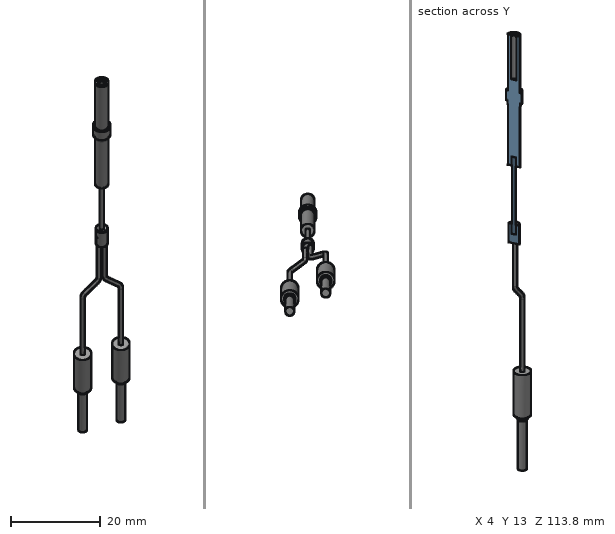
import cadquery as cq
import math

TOTAL_HEIGHT = 113.8

SOCKET_BOTTOM = 80.2
SOCKET_DIAMETER = 3.1
SOCKET_RADIUS = SOCKET_DIAMETER / 2
COLLAR_BOTTOM = 96.7
COLLAR_TOP = 99.4
COLLAR_DIAMETER = 4.0
COLLAR_RADIUS = COLLAR_DIAMETER / 2
NECK_RADIUS = 1.6
NECK_LENGTH = 1.0
NECK_TAPER = 0.3
BORE_RADIUS = 0.6
BORE_CHAMFER = 0.3
BORE_DEPTH = 11.4

WIRE_RADIUS = 0.51
WIRE_INSERTION = 2.3
PAIR_OFFSET = 0.7
BEND_TOP = 49.1
BEND_RADIUS = 1.7
BEND_ANGLE = math.radians(45)

SLEEVE_BOTTOM = 60.2
SLEEVE_TOP = 65.2
SLEEVE_RADIUS = 1.4
SLEEVE_CHAMFER = 0.1
JUNCTION_HEIGHT = (SLEEVE_BOTTOM + SLEEVE_TOP) / 2

PLUG_OFFSET = 4.5
PLUG_TOP = 25.2
PLUG_BODY_BOTTOM = 14.0
PLUG_BODY_DIAMETER = 4.0
PLUG_BODY_RADIUS = PLUG_BODY_DIAMETER / 2
PLUG_NECK_RADIUS = 1.3
PLUG_NECK_LENGTH = 1.4
PLUG_NECK_TAPER = 0.5
PIN_RADIUS = 1.0


def rod(radius, bottom, top, y=0):
    """Vertical cylinder between two heights."""
    return cq.Workplane("XY", origin=(0, y, bottom)).circle(radius).extrude(top - bottom)


def tapered_neck(neck_radius, end_radius, bottom, top, taper):
    """Round neck on the Z axis whose lowest stretch tapers to the radius below it."""
    profile = (
        cq.Workplane("XZ")
        .moveTo(0, bottom)
        .lineTo(end_radius, bottom)
        .lineTo(neck_radius, bottom + taper)
        .lineTo(neck_radius, top)
        .lineTo(0, top)
        .close()
    )
    return profile.revolve(360, (0, 0), (0, 1))


def make_branch(side):
    """One branch: straight down, outward through two equal bends, straight down again."""
    bend_shift = BEND_RADIUS * (1 - math.cos(BEND_ANGLE))
    bend_drop = BEND_RADIUS * math.sin(BEND_ANGLE)
    half_shift = BEND_RADIUS * (1 - math.cos(BEND_ANGLE / 2))
    half_drop = BEND_RADIUS * math.sin(BEND_ANGLE / 2)
    slant_shift = PLUG_OFFSET - PAIR_OFFSET - 2 * bend_shift
    slant_drop = slant_shift / math.tan(BEND_ANGLE)
    bend_bottom = BEND_TOP - 2 * bend_drop - slant_drop

    path = (
        cq.Workplane("YZ")
        .moveTo(side * PAIR_OFFSET, JUNCTION_HEIGHT)
        .lineTo(side * PAIR_OFFSET, BEND_TOP)
        .threePointArc(
            (side * (PAIR_OFFSET + half_shift), BEND_TOP - half_drop),
            (side * (PAIR_OFFSET + bend_shift), BEND_TOP - bend_drop),
        )
        .lineTo(side * (PLUG_OFFSET - bend_shift), bend_bottom + bend_drop)
        .threePointArc(
            (side * (PLUG_OFFSET - half_shift), bend_bottom + half_drop),
            (side * PLUG_OFFSET, bend_bottom),
        )
        .lineTo(side * PLUG_OFFSET, PLUG_TOP - WIRE_INSERTION)
    )
    start = cq.Workplane("XY", origin=(0, side * PAIR_OFFSET, JUNCTION_HEIGHT))
    return start.circle(WIRE_RADIUS).sweep(path)


def make_harness():
    """Single wire that splits into two branches inside the sleeve."""
    harness = rod(WIRE_RADIUS, JUNCTION_HEIGHT, SOCKET_BOTTOM + WIRE_INSERTION)
    for side in (-1, 1):
        harness = harness.union(make_branch(side))
    return harness


def make_socket():
    """Socket with a raised collar, a tapered neck below it and a countersunk bore on top."""
    neck_bottom = COLLAR_BOTTOM - NECK_LENGTH
    barrel = rod(SOCKET_RADIUS, SOCKET_BOTTOM, neck_bottom)
    neck = tapered_neck(NECK_RADIUS, SOCKET_RADIUS, neck_bottom, COLLAR_BOTTOM, NECK_TAPER)
    collar = rod(COLLAR_RADIUS, COLLAR_BOTTOM, COLLAR_TOP)
    tube = rod(SOCKET_RADIUS, COLLAR_TOP, TOTAL_HEIGHT)
    bore = rod(BORE_RADIUS, TOTAL_HEIGHT - BORE_DEPTH, TOTAL_HEIGHT)
    tube = tube.cut(bore).faces(">Z").edges(cq.selectors.RadiusNthSelector(0)).chamfer(BORE_CHAMFER)
    wire_hole = rod(WIRE_RADIUS, SOCKET_BOTTOM, SOCKET_BOTTOM + WIRE_INSERTION)
    return barrel.union(neck).union(collar).union(tube).cut(wire_hole)


def make_sleeve():
    """Chamfered sleeve with one wire hole from above and two from below, meeting at the junction."""
    sleeve = rod(SLEEVE_RADIUS, SLEEVE_BOTTOM, SLEEVE_TOP)
    sleeve = sleeve.edges("%CIRCLE").chamfer(SLEEVE_CHAMFER)
    sleeve = sleeve.cut(rod(WIRE_RADIUS, JUNCTION_HEIGHT, SLEEVE_TOP))
    for side in (-1, 1):
        sleeve = sleeve.cut(rod(WIRE_RADIUS, SLEEVE_BOTTOM, JUNCTION_HEIGHT, side * PAIR_OFFSET))
    return sleeve


def make_plug(y):
    """Thick plug body with a short tapered neck and a pin below, and a wire hole on top."""
    neck_bottom = PLUG_BODY_BOTTOM - PLUG_NECK_LENGTH
    body = rod(PLUG_BODY_RADIUS, PLUG_BODY_BOTTOM, PLUG_TOP, y)
    neck = tapered_neck(
        PLUG_NECK_RADIUS, PIN_RADIUS, neck_bottom, PLUG_BODY_BOTTOM, PLUG_NECK_TAPER
    ).translate((0, y, 0))
    pin = rod(PIN_RADIUS, 0, neck_bottom, y)
    wire_hole = rod(WIRE_RADIUS, PLUG_TOP - WIRE_INSERTION, PLUG_TOP, y)
    return body.union(neck).union(pin).cut(wire_hole)


socket = make_socket()
sleeve = make_sleeve()
harness = make_harness()
plugs = [make_plug(side * PLUG_OFFSET) for side in (-1, 1)]

result = cq.Compound.makeCompound(
    [socket.val(), sleeve.val(), harness.val(), *[plug.val() for plug in plugs]]
)